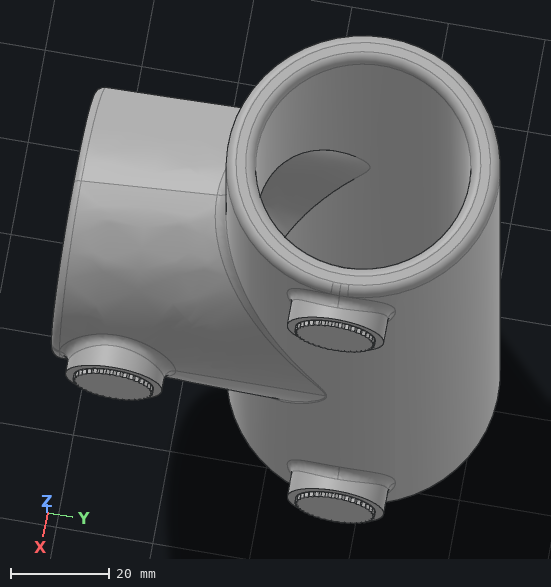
import cadquery as cq
import math

TUBE_LENGTH = 145.0
TUBE_RADIUS = 28.0
BORE_RADIUS = 44.0 / 2
WALL = TUBE_RADIUS - BORE_RADIUS
RIM_FILLET = 2.0

BRANCH_REACH = 60.0
BRANCH_ROOT_HEIGHT = 40.7
BRANCH_ROOT_WIDTH = 27.8
BRANCH_BLEND = 2.9

BOSS_RADIUS = 20.0 / 2
BOSS_FACE_X = 32.5
BOSS_BLEND = 2.0
TUBE_SCREW_Z = 58.6
BRANCH_SCREW_Y = -46.0
SCREW_AXES = [(0, TUBE_SCREW_Z), (0, -TUBE_SCREW_Z), (BRANCH_SCREW_Y, 0)]

SCREW_RADIUS = 16.5 / 2
SCREW_TIP_RADIUS = 15.2 / 2
SCREW_TIP_X = 20.6
SCREW_END_X = 33.5
SOCKET_FLATS = 7.5
SOCKET_MOUTH_FLATS = 9.3
SOCKET_LEAD_IN = 1.0
SOCKET_DEPTH = 8.7
KNURL_COUNT = 36
KNURL_DEPTH = 0.5


def x_cylinder(radius, x_start, x_end, y, z):
    """Round bar along X between two X positions."""
    plane = cq.Plane(origin=(x_start, y, z), xDir=(0, 1, 0), normal=(1, 0, 0))
    return cq.Workplane(plane).circle(radius).extrude(x_end - x_start)


def branch_taper(inset):
    """Loft from an upright ellipse on the tube axis to a circle, shrunk all round by the inset."""
    return (
        cq.Workplane("XZ")
        .ellipse(BRANCH_ROOT_WIDTH - inset, BRANCH_ROOT_HEIGHT - inset)
        .workplane(offset=BRANCH_REACH)
        .ellipse(TUBE_RADIUS - inset, TUBE_RADIUS - inset)
        .loft(ruled=True)
    )


def add_boss(body, y, z):
    """Screw boss on the +X side, blended into the wall it stands on."""
    body = body.union(x_cylinder(BOSS_RADIUS, BORE_RADIUS, BOSS_FACE_X, y, z))
    root = cq.selectors.BoxSelector(
        (BORE_RADIUS, y - BOSS_RADIUS, z - BOSS_RADIUS),
        ((TUBE_RADIUS + BOSS_FACE_X) / 2, y + BOSS_RADIUS, z + BOSS_RADIUS),
    )
    return body.edges(root).edges("not %LINE").fillet(BOSS_BLEND)


def make_fitting():
    """Tee fitting: tube, tapered branch, blended bosses, bores and screw holes."""
    tube = cq.Workplane("XY").circle(TUBE_RADIUS).extrude(TUBE_LENGTH / 2, both=True)
    body = tube.union(branch_taper(0))
    joint = cq.selectors.BoxSelector(
        (-TUBE_RADIUS, -TUBE_RADIUS, -BRANCH_ROOT_HEIGHT),
        (TUBE_RADIUS, 0, BRANCH_ROOT_HEIGHT),
    )
    body = body.edges(joint).edges("not %LINE").fillet(BRANCH_BLEND)
    for y, z in SCREW_AXES:
        body = add_boss(body, y, z)

    bore = cq.Workplane("XY").circle(BORE_RADIUS).extrude(TUBE_LENGTH / 2, both=True)
    body = body.cut(bore).cut(branch_taper(WALL))
    body = body.faces("<Z or >Z or <Y").edges().fillet(RIM_FILLET)

    for y, z in SCREW_AXES:
        body = body.cut(x_cylinder(SCREW_RADIUS, 0, BOSS_FACE_X, y, z))
    return body


def make_screw(y, z):
    """Set screw along X with a hexagon socket at its inner tip and a knurled outer rim."""
    tip_chamfer = SCREW_RADIUS - SCREW_TIP_RADIUS
    screw = x_cylinder(SCREW_RADIUS, SCREW_TIP_X, SCREW_END_X, y, z)
    screw = screw.faces("<X").chamfer(tip_chamfer)

    tip = cq.Plane(origin=(SCREW_TIP_X, y, z), xDir=(0, 0, 1), normal=(1, 0, 0))
    corner_ratio = 2 / math.sqrt(3)
    socket = cq.Workplane(tip).polygon(6, SOCKET_FLATS * corner_ratio).extrude(SOCKET_DEPTH)
    lead_in = (
        cq.Workplane(tip)
        .polygon(6, SOCKET_MOUTH_FLATS * corner_ratio)
        .workplane(offset=SOCKET_LEAD_IN)
        .polygon(6, SOCKET_FLATS * corner_ratio)
        .loft(ruled=True)
    )
    screw = screw.cut(socket).cut(lead_in)

    rim = cq.Plane(origin=(BOSS_FACE_X, y, z), xDir=(0, 1, 0), normal=(1, 0, 0))
    teeth = []
    for i in range(2 * KNURL_COUNT):
        radius = SCREW_RADIUS - KNURL_DEPTH * (i % 2)
        angle = math.pi * i / KNURL_COUNT
        teeth.append((radius * math.cos(angle), radius * math.sin(angle)))
    rim_height = SCREW_END_X - BOSS_FACE_X
    blank = cq.Workplane(rim).circle(BOSS_RADIUS).extrude(rim_height)
    knurl = cq.Workplane(rim).polyline(teeth).close().extrude(rim_height)
    return screw.cut(blank.cut(knurl))


fitting = make_fitting()
screws = [make_screw(y, z) for y, z in SCREW_AXES]
result = cq.Compound.makeCompound([fitting.val(), *[screw.val() for screw in screws]])